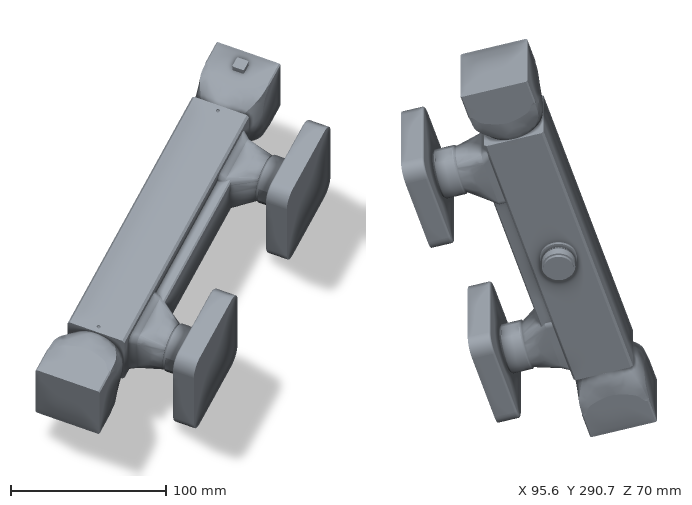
import cadquery as cq
import math

bar_width = 40.0
bar_length = 200.0
bar_chamfer = 1.5

handle_width = 45.0
handle_length = 45.0
handle_edge_chamfer = 0.9
handle_base_radius = 19.2
flow_handle_gap = 0.7
neck_length = 27.5
neck_sections = [
    (0, handle_base_radius * math.sqrt(0.5), handle_base_radius),
    (5, 16.2, 21.4),
    (10, 18.9, 22.2),
    (16, 21.2, handle_width / 2),
    (22, 21.9, 23.4),
    (neck_length, handle_width / 2, 23.5),
]

button_width = 8.2
button_height = 3.8
button_corner_chamfer = 0.6
button_end_distance = 12.9

marker_diameter = 2.6
marker_depth = 1.0
marker_end_distance = 4.3

connection_spacing = 149.4
connection_z = -4.0
connection_radius = 15.5
wall_x = 73.11

flange_width = 70.0
flange_thickness = 15.1
flange_corner_radius = 10.0
flange_edge_fillet = 1.5
nut_radius = 16.3
nut_length = 15.6
nut_flat_distance = 15.45
nut_chamfer = 1.3
nut_flat_margin = 2.0
nut_turn = 6.5

arm_height = 32.0
arm_inner_reach = 25.0
arm_outer_reach = 15.6
arm_corner_radius = 4.5
connection_corner_angle = 4.0
skirt_length = 4.6
skirt_growth = 3.0

spine_depth = 8.0
spine_top = 11.0
spine_bottom = -18.5
spine_chamfer = 1.0

outlet_flange_radius = 12.0
outlet_flange_height = 1.9
outlet_neck_radius = 9.6
outlet_neck_height = 3.4
outlet_collar_radius = 10.8
outlet_collar_height = 5.2
outlet_tip_height = 1.9
spline_count = 32
spline_width = 0.8
spline_depth = 0.7

bar_half = bar_width / 2
bar_end = bar_length / 2
handle_half = handle_width / 2
connection_y = connection_spacing / 2
flange_front = wall_x - flange_thickness
nut_front = flange_front - nut_length
skirt_end = bar_half + skirt_length


def make_bar():
    bar = cq.Workplane("XY").box(bar_width, bar_length, bar_width)
    bar = bar.edges("|Y").chamfer(bar_chamfer)
    markers = (
        cq.Workplane("XY", origin=(0, 0, bar_half - marker_depth))
        .rarray(1, bar_length - 2 * marker_end_distance, 1, 2)
        .circle(marker_diameter / 2)
        .extrude(marker_depth)
    )
    return bar.cut(markers)


def make_spine():
    spine = cq.Workplane("XY").box(
        bar_half + spine_depth,
        connection_spacing,
        spine_top - spine_bottom,
        centered=(False, True, False),
    )
    spine = spine.translate((0, 0, spine_bottom))
    return spine.edges("|Y and >X").chamfer(spine_chamfer)


def pad_wire(x, y_low, y_high, z_low, z_high):
    """Rounded rectangle in a plane of constant X, starting at the lower end of its +Y side."""
    y_mid = (y_low + y_high) / 2
    z_mid = (z_low + z_high) / 2
    y_half = (y_high - y_low) / 2
    z_half = (z_high - z_low) / 2
    inset = arm_corner_radius * (1 - math.sqrt(0.5))
    y_side = y_half - arm_corner_radius
    z_side = z_half - arm_corner_radius
    y_corner = y_half - inset
    z_corner = z_half - inset
    outline = cq.Workplane("YZ", origin=(x, y_mid, z_mid)).moveTo(y_half, -z_side)
    outline = outline.lineTo(y_half, z_side).threePointArc((y_corner, z_corner), (y_side, z_half))
    outline = outline.lineTo(-y_side, z_half).threePointArc((-y_corner, z_corner), (-y_half, z_side))
    outline = outline.lineTo(-y_half, -z_side).threePointArc((-y_corner, -z_corner), (-y_side, -z_half))
    outline = outline.lineTo(y_side, -z_half).threePointArc((y_corner, -z_corner), (y_half, -z_side))
    return outline.close().val()


def connection_wire():
    """Circle split into four side arcs and four short corner arcs, to pair with the pad outline."""

    def on_circle(degrees):
        angle = math.radians(degrees)
        return (connection_radius * math.cos(angle), connection_radius * math.sin(angle))

    side = 45 - connection_corner_angle
    outline = cq.Workplane("YZ", origin=(nut_front, connection_y, connection_z)).moveTo(*on_circle(-side))
    for middle in (0, 90, 180, 270):
        outline = outline.threePointArc(on_circle(middle), on_circle(middle + side))
        outline = outline.threePointArc(on_circle(middle + 45), on_circle(middle + 90 - side))
    return outline.close().val()


def make_arm():
    """Arm at +Y: a flared skirt on the bar, then a blend into the round connection."""
    half_height = arm_height / 2
    y_low = connection_y - arm_inner_reach
    y_high = connection_y + arm_outer_reach
    z_low = connection_z - half_height
    z_high = connection_z + half_height
    root = pad_wire(bar_half, y_low, y_high + skirt_growth, z_low, z_high + skirt_growth)
    pad = pad_wire(skirt_end, y_low, y_high, z_low, z_high)
    tip = connection_wire()
    skirt = cq.Solid.makeLoft([root, pad], True)
    blend = cq.Solid.makeLoft([pad, tip], True)
    return cq.Workplane(skirt).union(cq.Workplane(blend))


def make_outlet():
    tiers = [
        (outlet_flange_radius, outlet_flange_height),
        (outlet_neck_radius, outlet_neck_height),
        (outlet_collar_radius, outlet_collar_height),
        (outlet_neck_radius, outlet_tip_height),
    ]
    outlet = cq.Workplane("XY")
    z = -bar_half
    for radius, height in tiers:
        tier = cq.Workplane("XY", origin=(0, 0, z)).circle(radius).extrude(-height)
        outlet = outlet.union(tier)
        z -= height
    neck_bottom = -bar_half - outlet_flange_height - outlet_neck_height
    splines = (
        cq.Workplane("XY", origin=(0, 0, neck_bottom))
        .polarArray(outlet_neck_radius, 0, 360, spline_count)
        .rect(2 * spline_depth, spline_width)
        .extrude(outlet_neck_height)
    )
    return outlet.cut(splines)


def make_housing():
    arm = make_arm()
    housing = make_bar().union(make_spine()).union(arm).union(arm.mirror("XZ"))
    return housing.union(make_outlet())


def four_arc_wire(distance, corner, bulge):
    """Closed outline of four arcs, through (±corner, ±corner) and `bulge` from the axis mid-side."""
    outline = cq.Workplane("XZ", origin=(0, -distance, 0)).moveTo(corner, -corner)
    outline = outline.threePointArc((bulge, 0), (corner, corner))
    outline = outline.threePointArc((0, bulge), (-corner, corner))
    outline = outline.threePointArc((-bulge, 0), (-corner, -corner))
    outline = outline.threePointArc((0, -bulge), (corner, -corner))
    return outline.close().val()


def make_handle():
    """Handle at the -Y end: a bulging round-to-square neck trimmed by a square block."""
    sections = [four_arc_wire(bar_end + distance, *shape) for distance, *shape in neck_sections]
    neck = cq.Workplane(cq.Solid.makeLoft(sections))
    grip_length = handle_length - neck_length
    grip = cq.Workplane("XZ", origin=(0, -bar_end - neck_length, 0)).rect(handle_width, handle_width)
    handle = neck.union(grip.extrude(grip_length))
    block = cq.Workplane("XZ", origin=(0, -bar_end, 0)).rect(handle_width, handle_width)
    block = block.extrude(handle_length).edges("|Y").chamfer(handle_edge_chamfer)
    return handle.intersect(block)


def make_button():
    y = bar_end + handle_length - button_end_distance
    button = cq.Workplane("XY", origin=(0, y, handle_half)).rect(button_width, button_width)
    return button.extrude(button_height).edges("|Z").chamfer(button_corner_chamfer)


def make_wall_flange(y):
    axis_point = (flange_front, y, connection_z)
    flange = cq.Workplane("YZ", origin=axis_point).rect(flange_width, flange_width)
    flange = flange.extrude(flange_thickness).edges("|X").fillet(flange_corner_radius)
    flange = flange.faces("<X").edges().fillet(flange_edge_fillet)
    nut = cq.Workplane("YZ", origin=axis_point).circle(nut_radius).extrude(-nut_length)
    nut = nut.faces("<X or >X").chamfer(nut_chamfer)
    flat_length = nut_length - 2 * nut_flat_margin
    for side in (-1, 1):
        flat_y = y + side * (nut_flat_distance + nut_radius)
        flat_cut = cq.Workplane("XY").box(flat_length, 2 * nut_radius, 2 * nut_radius)
        nut = nut.cut(flat_cut.translate((flange_front - nut_length / 2, flat_y, connection_z)))
    nut = nut.rotate(axis_point, (nut_front, y, connection_z), nut_turn)
    return flange.union(nut)


housing = make_housing()
handle = make_handle()
flow_handle = handle.translate((0, -flow_handle_gap, 0))
temperature_handle = handle.mirror("XZ").union(make_button())
wall_flanges = [make_wall_flange(side * connection_y) for side in (-1, 1)]

result = cq.Compound.makeCompound(
    [
        housing.val(),
        flow_handle.val(),
        temperature_handle.val(),
        *[flange.val() for flange in wall_flanges],
    ]
)